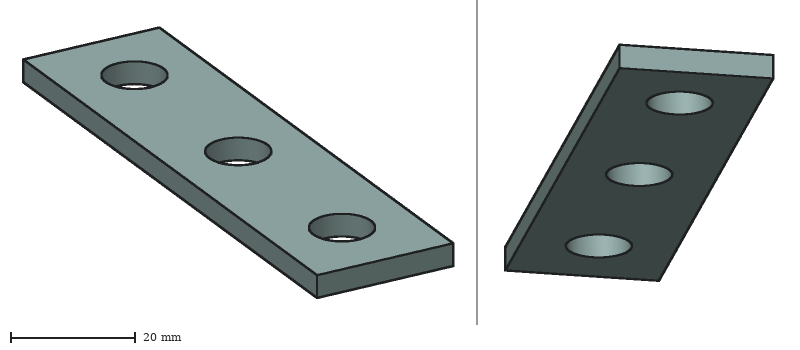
import cadquery as cq

length = 95.6
width = 25.0
thickness = 4.0

hole_diameter = 10.6
hole_pitch = 33.7
hole_count = 3

strip = cq.Workplane("XY").box(length, width, thickness)

result = (
    strip.faces(">Z")
    .workplane()
    .rarray(hole_pitch, 1, hole_count, 1)
    .hole(hole_diameter)
)